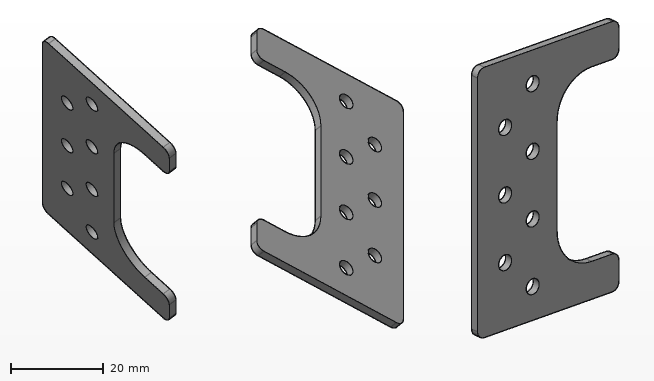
import cadquery as cq

height = 64.0
width = 41.0
thickness = 2.0
corner_radius = 2.0

spine_width = 23.1
notch_height = 46.0
notch_radius = 10.0

hole_diameter = 3.7
hole_pitch = 8.0
outer_column_rows = (-2, 0, 2)
inner_column_rows = (-3, -1, 1, 3)


def upright_box(x_start, x_size, z_size):
    """Box of the plate's thickness, centred on Y and Z."""
    return (
        cq.Workplane("XY")
        .box(x_size, thickness, z_size, centered=(False, True, True))
        .translate((x_start, 0, 0))
    )


def notched_plate():
    plate = upright_box(0, width, height)
    notch = upright_box(spine_width, width - spine_width, notch_height)
    notch = notch.edges("|Y and <X").fillet(notch_radius)
    plate = plate.cut(notch)
    return plate.edges("|Y and (<X or >X)").fillet(corner_radius)


def hole_centres():
    outer = [(hole_pitch, row * hole_pitch) for row in outer_column_rows]
    inner = [(2 * hole_pitch, row * hole_pitch) for row in inner_column_rows]
    return outer + inner


def drill_holes(plate):
    drills = (
        cq.Workplane("XZ", origin=(0, thickness / 2, 0))
        .pushPoints(hole_centres())
        .circle(hole_diameter / 2)
        .extrude(thickness)
    )
    return plate.cut(drills)


result = drill_holes(notched_plate())